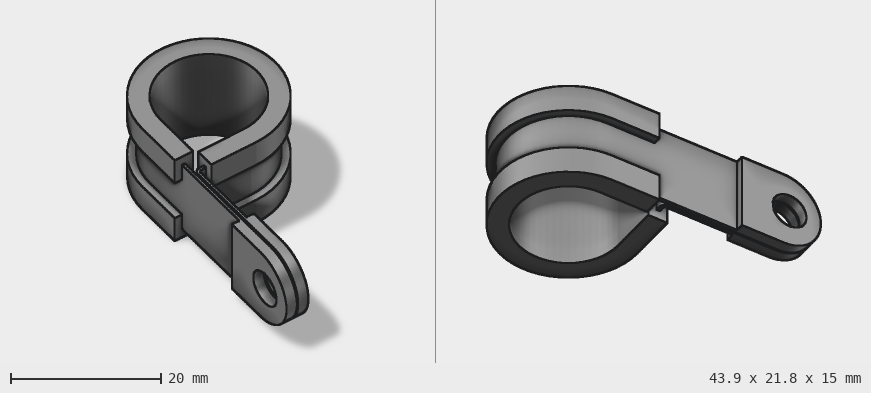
import cadquery as cq

length = 43.9
cushion_height = 15.0
cushion_outer_diameter = 21.8
cushion_outer_radius = cushion_outer_diameter / 2
cushion_inner_radius = 7.9
leg_length = 7.4

band_outer_radius = 9.7
band_thickness = 0.5
band_width = 11.95
band_inner_radius = band_outer_radius - band_thickness
groove_width = 6.5

strap_gap = 0.2
bend_outer_radius = 0.8
pad_start = 31.4
pad_thickness = cushion_outer_radius - band_inner_radius
hole_diameter = 5.3
hole_x = 38.95

center_x = cushion_outer_radius
end_radius = band_width / 2
pad_center_x = length - end_radius
upper_strap_bottom = -band_inner_radius + strap_gap
upper_strap_top = upper_strap_bottom + band_thickness


def loop_layer(inner, outer, height):
    """Three-quarter ring with one leg along +X and one along -Y."""
    def teardrop(radius):
        disc = cq.Workplane("XY").circle(radius).extrude(height / 2, both=True)
        corner = (
            cq.Workplane("XY")
            .rect(radius, -radius, centered=False)
            .extrude(height / 2, both=True)
        )
        return disc.union(corner)

    end_trim = (
        cq.Workplane("XY")
        .moveTo(leg_length, -leg_length)
        .rect(2 * outer, -2 * outer, centered=False)
        .extrude(height, both=True)
    )
    layer = teardrop(outer).cut(teardrop(inner)).cut(end_trim)
    return layer.translate((center_x, 0, 0))


def plate(x_start, x_end, y_start, y_end):
    """Flat plate of band width, centred on Z = 0."""
    return (
        cq.Workplane("XY")
        .moveTo(x_start, y_start)
        .rect(x_end - x_start, y_end - y_start, centered=False)
        .extrude(band_width / 2, both=True)
    )


def bent_strap():
    """Upper strap: leaves the -Y leg, bends through 90 degrees and runs along +X."""
    bend_inner_radius = bend_outer_radius - band_thickness
    left = center_x + band_inner_radius
    right = left + band_thickness
    bend_x = left + bend_outer_radius
    bend_y = upper_strap_bottom + bend_outer_radius
    return (
        cq.Workplane("XY")
        .moveTo(left, -leg_length)
        .lineTo(left, bend_y)
        .radiusArc((bend_x, upper_strap_bottom), -bend_outer_radius)
        .lineTo(pad_center_x, upper_strap_bottom)
        .lineTo(pad_center_x, upper_strap_top)
        .lineTo(bend_x, upper_strap_top)
        .radiusArc((right, bend_y), bend_inner_radius)
        .lineTo(right, -leg_length)
        .close()
        .extrude(band_width / 2, both=True)
    )


def end_pad(y_start, y_end):
    """Thick pad with a full-round end."""
    rounded_end = (
        cq.Workplane("XZ", origin=(pad_center_x, y_end, 0))
        .circle(end_radius)
        .extrude(y_end - y_start)
    )
    return plate(pad_start, pad_center_x, y_start, y_end).union(rounded_end)


cushion = loop_layer(cushion_inner_radius, cushion_outer_radius, cushion_height)
cushion = cushion.cut(loop_layer(band_outer_radius, cushion_outer_radius, groove_width))

lower_strap = plate(center_x + leg_length, pad_center_x, -band_outer_radius, -band_inner_radius)
lower_pad = end_pad(-band_inner_radius - pad_thickness, -band_inner_radius)
upper_pad = end_pad(upper_strap_bottom, upper_strap_bottom + pad_thickness)
hole = (
    cq.Workplane("XZ", origin=(hole_x, 0, 0))
    .circle(hole_diameter / 2)
    .extrude(cushion_outer_diameter)
)
tail = lower_strap.union(lower_pad).union(bent_strap()).union(upper_pad).cut(hole)

result = cushion.union(tail)